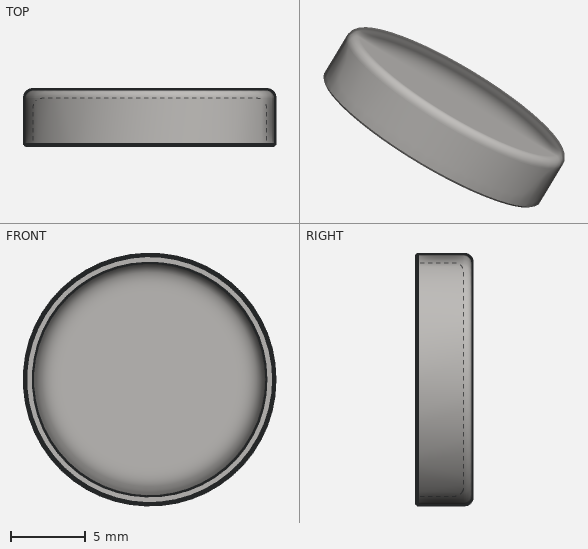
import cadquery as cq

outer_diameter = 16.88
height = 3.81
wall = 0.6
floor_thickness = 0.6
back_fillet = 0.6
floor_fillet = 0.6
rim_chamfer = 0.15

inner_diameter = outer_diameter - 2 * wall
cavity_depth = height - floor_thickness


def disc(diameter, length):
    """Cylinder along Y, running from the open rim plane toward +Y."""
    rim_plane = cq.Workplane("XZ", origin=(0, -height / 2, 0))
    return rim_plane.circle(diameter / 2).extrude(-length)


body = disc(outer_diameter, height)
body = body.faces(">Y").edges().fillet(back_fillet)
body = body.faces("<Y").edges().chamfer(rim_chamfer)

cavity = disc(inner_diameter, cavity_depth)
cavity = cavity.faces(">Y").edges().fillet(floor_fillet)

result = body.cut(cavity)